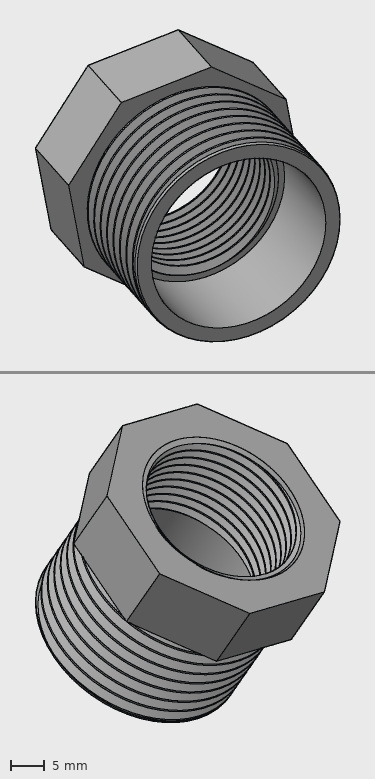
import cadquery as cq
import math

SPAN = 38.02
FLAT_COUNT = 8
ACROSS_FLATS = 36.0
HEAD_LENGTH = 11.95

TOTAL_LENGTH = 31.1
SHANK_ROOT_DIAMETER = 30.23
SHANK_CREST_DIAMETER = 33.4
SHANK_PITCH = 2.308
RIM_WIDTH = 0.5
RIM_DROP = 0.15

SOCKET_ROOT_DIAMETER = 26.42
SOCKET_CREST_DIAMETER = 24.1
SOCKET_PITCH = 1.815
SOCKET_LENGTH = 16.3
RELIEF_DIAMETER = 28.45

CREST_FRACTION = 0.15
BASE_FRACTION = 0.9

SOCKET_LEAD_IN = 1.5

corner_radius = ACROSS_FLATS / 2 / math.cos(math.pi / FLAT_COUNT)
head_tilt = math.acos(SPAN / 2 / corner_radius)
rim_start = TOTAL_LENGTH - RIM_WIDTH


def cylinder(diameter, start, end):
    """Solid cylinder on the X axis between two X positions."""
    return cq.Workplane("YZ", origin=(start, 0, 0)).circle(diameter / 2).extrude(end - start)


def octagon_head():
    """Octagonal prism with one corner tilted from +Z towards +Y."""
    corners = []
    for i in range(FLAT_COUNT):
        angle = head_tilt + i * 2 * math.pi / FLAT_COUNT
        corners.append((corner_radius * math.sin(angle), corner_radius * math.cos(angle)))
    return cq.Workplane("YZ").polyline(corners).close().extrude(HEAD_LENGTH)


def end_rim():
    """Collar at the free end whose outside is one arc, falling away from its inner edge."""
    crest = SHANK_CREST_DIAMETER / 2
    arc_radius = (RIM_WIDTH**2 + RIM_DROP**2) / (2 * RIM_DROP)
    arc_mid_angle = math.asin(RIM_WIDTH / arc_radius) / 2
    arc_middle = (
        rim_start + arc_radius * math.sin(arc_mid_angle),
        crest - arc_radius * (1 - math.cos(arc_mid_angle)),
    )
    return (
        cq.Workplane("XY")
        .moveTo(rim_start, 0)
        .lineTo(rim_start, crest)
        .threePointArc(arc_middle, (TOTAL_LENGTH, crest - RIM_DROP))
        .lineTo(TOTAL_LENGTH, 0)
        .close()
        .revolve(360, (0, 0, 0), (1, 0, 0))
    )


def make_housing():
    """Head, plain shank core and end rim, bored right through."""
    shank = cylinder(SHANK_ROOT_DIAMETER, HEAD_LENGTH, TOTAL_LENGTH)
    socket = cylinder(SOCKET_ROOT_DIAMETER, 0, SOCKET_LENGTH)
    relief = cylinder(RELIEF_DIAMETER, SOCKET_LENGTH, TOTAL_LENGTH)
    return octagon_head().union(shank).union(end_rim()).cut(socket).cut(relief)


def helical_ridge(root_diameter, crest_diameter, pitch, first_centre, turns):
    """Right-handed trapezoidal ridge; its centre line starts on the -Z side at X = first_centre."""

    def helix(diameter, offset):
        return cq.Wire.makeHelix(pitch, turns * pitch, diameter / 2, center=cq.Vector(0, 0, offset))

    half_base = BASE_FRACTION * pitch / 2
    half_crest = CREST_FRACTION * pitch / 2
    edges = [
        helix(root_diameter, -half_base),
        helix(crest_diameter, -half_crest),
        helix(crest_diameter, half_crest),
        helix(root_diameter, half_base),
    ]
    sides = [cq.Face.makeRuledSurface(edges[i - 1], edges[i]) for i in range(len(edges))]
    ends = []
    for position in (0, 1):
        corners = [edge.positionAt(position) for edge in edges]
        ends.append(cq.Face.makeFromWires(cq.Wire.makePolygon(corners, close=True)))
    ridge = cq.Solid.makeSolid(cq.Shell.makeShell(sides + ends))
    ridge = ridge.rotate(cq.Vector(0, 0, 0), cq.Vector(0, 1, 0), 90)
    return cq.Workplane(ridge.translate(cq.Vector(first_centre, 0, 0)))


def make_thread(root_diameter, crest_diameter, pitch, first_centre, start, end):
    """Helical ridge cut off square at the start and end X positions."""
    turns = math.ceil((end - first_centre) / pitch) + 1
    ridge = helical_ridge(root_diameter, crest_diameter, pitch, first_centre, turns)
    outer_diameter = 2 * max(root_diameter, crest_diameter)
    return ridge.intersect(cylinder(outer_diameter, start, end))


housing = make_housing()
shank_thread = make_thread(
    SHANK_ROOT_DIAMETER, SHANK_CREST_DIAMETER, SHANK_PITCH,
    HEAD_LENGTH - SHANK_PITCH, HEAD_LENGTH, rim_start,
)
socket_thread = make_thread(
    SOCKET_ROOT_DIAMETER, SOCKET_CREST_DIAMETER, SOCKET_PITCH,
    -SOCKET_LEAD_IN * SOCKET_PITCH, 0, SOCKET_LENGTH,
)

bodies = [housing, shank_thread, socket_thread]
result = cq.Compound.makeCompound([body.solids().val() for body in bodies])